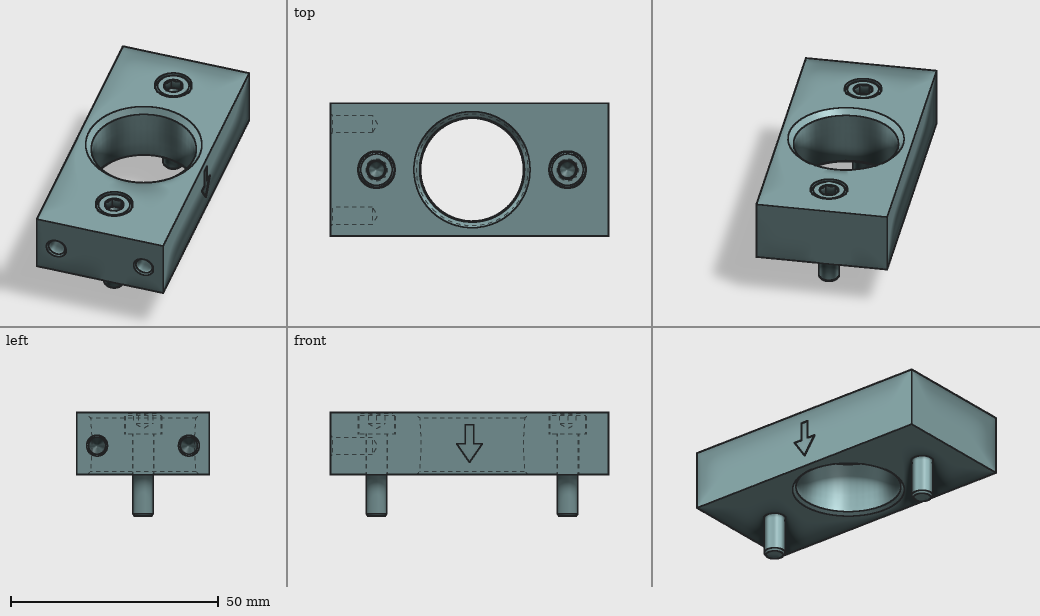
import cadquery as cq
import math

LENGTH = 67.0
WIDTH = 32.0
HEIGHT = 15.0
FEATURE_X = 0.6

THROAT_DIA = 24.7
BORE_EDGE_DIA = 25.3
TOP_BORE_CHAMFER = 1.35
BOTTOM_BORE_CHAMFER = 0.8

SCREW_SPACING = 46.0
SHANK_DIA = 5.0
HEAD_DIA = 8.5
HEAD_HEIGHT = 5.0
HEAD_TOP_CHAMFER = 0.5
TIP_DIA = 4.15
TIP_CHAMFER_HEIGHT = 0.6
TIP_DROP = 10.0
HEAD_RECESS = 0.2
COUNTERBORE_DIA = 9.0
CLEARANCE_DIA = 5.3
SOCKET_FLATS = 4.0
SOCKET_DEPTH = 2.5
SOCKET_MOUTH_DIA = 4.6
SOCKET_TURN = 30.0

END_HOLE_DIA = 4.15
END_HOLE_MOUTH_DIA = 5.0
END_HOLE_SPACING = 22.1
END_HOLE_Z = 7.0
END_HOLE_DEPTH = 10.05
DRILL_HALF_ANGLE = 59.0

ARROW_TOP_Z = 12.05
ARROW_TIP_Z = 2.95
ARROW_HEAD_Z = 7.45
ARROW_HEAD_WIDTH = 6.2
ARROW_STEM_WIDTH = 1.95
ARROW_DEPTH = 0.2

screw_xs = [FEATURE_X + side * SCREW_SPACING / 2 for side in (-1, 1)]
head_top_z = HEIGHT - HEAD_RECESS
head_seat_z = head_top_z - HEAD_HEIGHT


def cone_depth(diameter):
    """Height of a drill-point cone with the given base diameter."""
    return diameter / 2 / math.tan(math.radians(DRILL_HALF_ANGLE))


def make_bore():
    """Revolved cutter for the main bore, with its arc-shaped wall."""
    edge_radius = BORE_EDGE_DIA / 2
    lower_edge_z = BOTTOM_BORE_CHAMFER
    upper_edge_z = HEIGHT - TOP_BORE_CHAMFER
    throat_z = (lower_edge_z + upper_edge_z) / 2
    return (
        cq.Workplane("XZ")
        .moveTo(0, 0)
        .lineTo(edge_radius + BOTTOM_BORE_CHAMFER, 0)
        .lineTo(edge_radius, lower_edge_z)
        .threePointArc((THROAT_DIA / 2, throat_z), (edge_radius, upper_edge_z))
        .lineTo(edge_radius + TOP_BORE_CHAMFER, HEIGHT)
        .lineTo(0, HEIGHT)
        .close()
        .revolve(360, (0, 0, 0), (0, 1, 0))
        .translate((FEATURE_X, 0, 0))
    )


def make_screw_hole(x):
    """Stepped cutter for one screw: clearance hole and counterbore."""
    clearance_hole = cq.Workplane("XY").center(x, 0).circle(CLEARANCE_DIA / 2).extrude(HEIGHT)
    counterbore = (
        cq.Workplane("XY", origin=(x, 0, head_seat_z))
        .circle(COUNTERBORE_DIA / 2)
        .extrude(HEIGHT - head_seat_z)
    )
    return clearance_hole.union(counterbore)


def make_end_hole(y):
    """Cutter for one countersunk blind hole running in +X from the left end."""
    radius = END_HOLE_DIA / 2
    mouth_radius = END_HOLE_MOUTH_DIA / 2
    return (
        cq.Workplane("XY")
        .polyline([
            (0, 0),
            (0, mouth_radius),
            (mouth_radius - radius, radius),
            (END_HOLE_DEPTH, radius),
            (END_HOLE_DEPTH + cone_depth(END_HOLE_DIA), 0),
        ])
        .close()
        .revolve(360, (0, 0, 0), (1, 0, 0))
        .translate((-LENGTH / 2, y, END_HOLE_Z))
    )


def make_arrow():
    """Cutter for the shallow arrow in the front face."""
    half_stem = ARROW_STEM_WIDTH / 2
    half_head = ARROW_HEAD_WIDTH / 2
    return (
        cq.Workplane("XZ", origin=(0, -WIDTH / 2, 0))
        .polyline([
            (-half_stem, ARROW_TOP_Z),
            (half_stem, ARROW_TOP_Z),
            (half_stem, ARROW_HEAD_Z),
            (half_head, ARROW_HEAD_Z),
            (0, ARROW_TIP_Z),
            (-half_head, ARROW_HEAD_Z),
            (-half_stem, ARROW_HEAD_Z),
        ])
        .close()
        .extrude(-ARROW_DEPTH)
    )


def make_block():
    body = cq.Workplane("XY").box(LENGTH, WIDTH, HEIGHT, centered=(True, True, False))
    body = body.cut(make_bore())
    for x in screw_xs:
        body = body.cut(make_screw_hole(x))
    for side in (-1, 1):
        body = body.cut(make_end_hole(side * END_HOLE_SPACING / 2))
    return body.cut(make_arrow())


def make_socket():
    """Cutter for the hexagonal drive: chamfered mouth, hexagon and conical floor."""
    hexagon_dia = SOCKET_FLATS / math.cos(math.pi / 6)
    floor_z = head_top_z - SOCKET_DEPTH
    hexagon = (
        cq.Workplane("XY", origin=(0, 0, floor_z))
        .polygon(6, hexagon_dia)
        .extrude(SOCKET_DEPTH)
        .rotate((0, 0, 0), (0, 0, 1), SOCKET_TURN)
    )
    mouth_depth = (SOCKET_MOUTH_DIA - SOCKET_FLATS) / 2
    mouth = cq.Workplane(
        cq.Solid.makeCone(
            SOCKET_FLATS / 2, SOCKET_MOUTH_DIA / 2, mouth_depth, cq.Vector(0, 0, head_top_z - mouth_depth)
        )
    )
    point_depth = cone_depth(SOCKET_FLATS)
    point = cq.Workplane(
        cq.Solid.makeCone(0, SOCKET_FLATS / 2, point_depth, cq.Vector(0, 0, floor_z - point_depth))
    )
    return hexagon.union(mouth).union(point)


def make_screw(x):
    """One socket-head cap screw standing on the Z axis, then moved to x."""
    shank = (
        cq.Workplane("XY", origin=(0, 0, -TIP_DROP))
        .circle(SHANK_DIA / 2)
        .extrude(head_seat_z + TIP_DROP)
        .faces("<Z")
        .chamfer(TIP_CHAMFER_HEIGHT, (SHANK_DIA - TIP_DIA) / 2)
    )
    head = (
        cq.Workplane("XY", origin=(0, 0, head_seat_z))
        .circle(HEAD_DIA / 2)
        .extrude(HEAD_HEIGHT)
        .faces(">Z")
        .chamfer(HEAD_TOP_CHAMFER)
    )
    return shank.union(head).cut(make_socket()).translate((x, 0, 0))


block = make_block()
screws = [make_screw(x) for x in screw_xs]
result = cq.Compound.makeCompound([block.val(), *[screw.val() for screw in screws]])